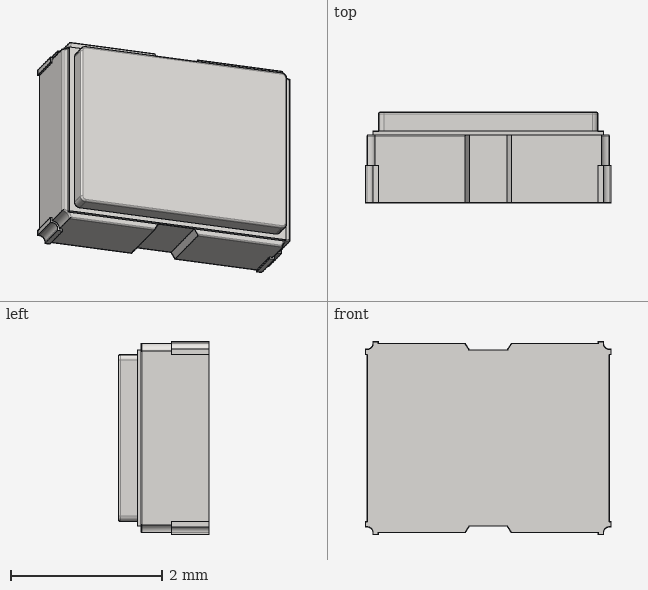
import cadquery as cq

total_width = 3.25
total_height = 2.55
total_depth = 1.2

pad_thickness = 0.025
pad_reach = 0.172
pad_depth = 0.497

body_width = total_width - 2 * pad_thickness
body_height = total_height - 2 * pad_thickness
body_depth = 0.9
corner_notch_radius = 0.1
body_edge_radius = 0.02
edge_tolerance = 0.0003

groove_mouth_width = 0.61
groove_floor_width = 0.5
groove_cut = 0.088

ring_width = 3.05
ring_height = 2.33
ring_depth = 0.05
lid_width = 2.9
lid_height = 2.207
lid_corner_radius = 0.07
lid_edge_radius = 0.025

front_y = -total_depth / 2
ring_y = front_y + body_depth
lid_y = ring_y + ring_depth
lid_depth = total_depth - body_depth - ring_depth

SIDES = (-1, 1)
BODY_CORNERS = [(x * body_width / 2, z * body_height / 2) for x in SIDES for z in SIDES]


def plane_at(y):
    """XZ sketch plane at the given Y, extruding toward +Y; its local Y is -Z."""
    return cq.Workplane(cq.Plane(origin=(0, y, 0), xDir=(1, 0, 0), normal=(0, 1, 0)))


def slab(width, height, y, depth):
    return plane_at(y).rect(width, height).extrude(depth)


def corner_cylinders(radius, depth):
    return plane_at(front_y).pushPoints(BODY_CORNERS).circle(radius).extrude(depth)


def make_groove(side):
    """Trapezoidal cutter through the body depth; side is +1 or -1 along local Y."""
    mouth = side * body_height / 2
    floor = mouth - side * groove_cut
    outline = [
        (-groove_mouth_width / 2, mouth),
        (groove_mouth_width / 2, mouth),
        (groove_floor_width / 2, floor),
        (-groove_floor_width / 2, floor),
    ]
    return plane_at(front_y).polyline(outline).close().extrude(body_depth)


def make_body():
    """Body with a rounded rear edge, left sharp at the grooves and on the +X part of the top."""
    body = slab(body_width, body_height, front_y, body_depth)
    body = body.cut(corner_cylinders(corner_notch_radius, body_depth))
    for side in SIDES:
        body = body.cut(make_groove(side))

    def is_rounded(edge):
        middle = edge.Center()
        at_groove = abs(middle.x) < groove_mouth_width / 2
        on_groove = at_groove and abs(middle.z) > body_height / 4
        on_top_face = middle.z > body_height / 2 - edge_tolerance
        return not on_groove and not (on_top_face and middle.x > 0)

    rear_edges = body.faces(">Y").edges().filter(is_rounded)
    return rear_edges.fillet(body_edge_radius)


def make_pads():
    """Four pads wrapping the body corners and lining their notches."""
    pad_centres = [
        (x * (total_width - pad_reach) / 2, z * (total_height - pad_reach) / 2)
        for x in SIDES
        for z in SIDES
    ]
    pads = plane_at(front_y).pushPoints(pad_centres).rect(pad_reach, pad_reach).extrude(pad_depth)
    pads = pads.cut(corner_cylinders(corner_notch_radius - pad_thickness, pad_depth))
    outer_corners = [(x * total_width / 2, z * total_height / 2) for x in SIDES for z in SIDES]
    notch_opening = 2 * corner_notch_radius
    openings = plane_at(front_y).pushPoints(outer_corners).rect(notch_opening, notch_opening)
    body_block = slab(body_width, body_height, front_y, pad_depth)
    return pads.cut(openings.extrude(pad_depth).cut(body_block))


def make_lid():
    lid = slab(lid_width, lid_height, lid_y, lid_depth)
    lid = lid.edges("|Y").fillet(lid_corner_radius)
    return lid.faces(">Y").edges().fillet(lid_edge_radius)


ring = slab(ring_width, ring_height, ring_y, ring_depth)
result = make_body().union(make_pads()).union(ring).union(make_lid())